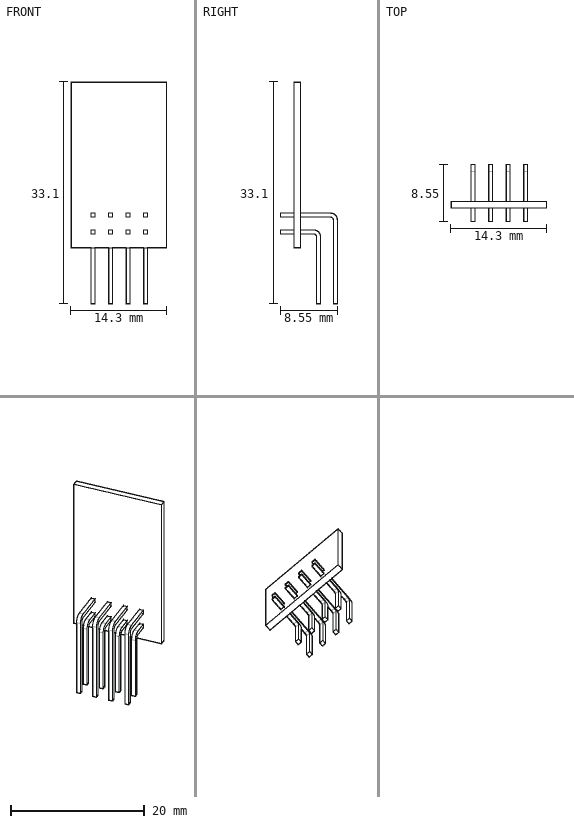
import cadquery as cq

BOARD_WIDTH = 14.3
BOARD_THICKNESS = 1.0
BOARD_HEIGHT = 24.8
BOARD_BOTTOM = 8.35

PIN_SIZE = 0.63
PIN_COUNT = 4
COLUMN_PITCH = 2.62
FIRST_COLUMN = 3.28
PIN_COLUMNS = [FIRST_COLUMN + i * COLUMN_PITCH for i in range(PIN_COUNT)]
PIN_OVERHANG = 2.02
PIN_FRONT = -BOARD_THICKNESS / 2 - PIN_OVERHANG
FULL_DEPTH = 8.55
ROW_PITCH = 2.52
UPPER_ROW_HEIGHT = 13.25
BEND_OUTER_RADIUS = 1.05
BEND_INNER_RADIUS = BEND_OUTER_RADIUS - PIN_SIZE

UPPER_ROW = (UPPER_ROW_HEIGHT, PIN_FRONT + FULL_DEPTH)
LOWER_ROW = (UPPER_ROW_HEIGHT - ROW_PITCH, PIN_FRONT + FULL_DEPTH - ROW_PITCH)
PIN_PLACES = [(x, height, rear) for height, rear in (UPPER_ROW, LOWER_ROW) for x in PIN_COLUMNS]


def make_pin(x_center, leg_height, rear):
    """Right-angle pin: a horizontal leg through the board and a vertical leg behind it."""
    top = leg_height + PIN_SIZE / 2
    side = cq.Workplane("YZ", origin=(x_center, 0, 0))
    return (
        side.moveTo(PIN_FRONT, top)
        .lineTo(rear - BEND_OUTER_RADIUS, top)
        .radiusArc((rear, top - BEND_OUTER_RADIUS), BEND_OUTER_RADIUS)
        .lineTo(rear, 0)
        .lineTo(rear - PIN_SIZE, 0)
        .lineTo(rear - PIN_SIZE, top - BEND_OUTER_RADIUS)
        .radiusArc((rear - BEND_OUTER_RADIUS, top - PIN_SIZE), -BEND_INNER_RADIUS)
        .lineTo(PIN_FRONT, top - PIN_SIZE)
        .close()
        .extrude(PIN_SIZE / 2, both=True)
    )


def make_board():
    """Flat upright board with one square hole for each pin."""
    board = cq.Workplane("XY").box(
        BOARD_WIDTH, BOARD_THICKNESS, BOARD_HEIGHT, centered=(False, True, False)
    ).translate((0, 0, BOARD_BOTTOM))
    for x, height, _ in PIN_PLACES:
        hole = cq.Workplane("XY").box(PIN_SIZE, BOARD_THICKNESS, PIN_SIZE)
        board = board.cut(hole.translate((x, 0, height)))
    return board


board = make_board()
pins = [make_pin(x, height, rear) for x, height, rear in PIN_PLACES]

result = cq.Compound.makeCompound([board.val(), *[pin.val() for pin in pins]])